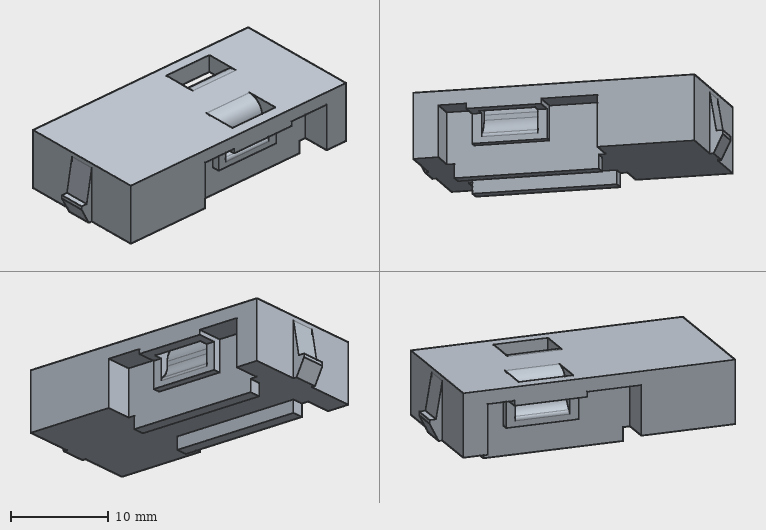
import math

import cadquery as cq

body_width = 14.9
body_length = 30.0
body_height = 7.0

leg_outer_x = 4.2
leg_thickness = 1.4
leg_drop = 1.5
leg_y_min = -3.9
leg_y_max = 11.5

recess_y_min = -4.65
recess_y_max = 12.3
roof_thickness = 1.5

guide_length = 8.0
lip_depth = 2.05
box_outer_x = 5.1
box_depth = 5.2
guide_center_y = 5.35
guide_offset_y = -1.95

channel_length = 6.0
channel_outer_x = 6.1
entry_radius = 2.0
ramp_reach = 1.0
channel_wall_x = box_outer_x - ramp_reach
channel_straight_depth = 2.55
ramp_radius = 1.9
ramp_lip_radius = 0.5

clip_width = 3.0
clip_top_z = -0.52
clip_ledge_z = -4.6
clip_nose_z = -5.0
clip_ledge_reach = 0.7
clip_nose_reach = 1.4
clip_foot_reach = 0.4

half_width = body_width / 2
half_length = body_length / 2


def box_between(x_range, y_range, z_range):
    """Axis-aligned block between the given limits."""
    (x0, x1), (y0, y1), (z0, z1) = x_range, y_range, z_range
    return cq.Workplane("XY").box(x1 - x0, y1 - y0, z1 - z0, centered=False).translate((x0, y0, z0))


def make_recess():
    """Recess on the +X side."""
    return box_between(
        (leg_outer_x, half_width), (recess_y_min, recess_y_max), (-body_height, -roof_thickness)
    )


def make_leg():
    """Leg on the +X side, reaching below the body."""
    return box_between(
        (leg_outer_x - leg_thickness, leg_outer_x),
        (leg_y_min, leg_y_max),
        (-body_height - leg_drop, -roof_thickness),
    )


def make_guide(center_y):
    """Lip and box on the +X side that carry the channel."""
    y_range = (center_y - guide_length / 2, center_y + guide_length / 2)
    lip = box_between((leg_outer_x, half_width), y_range, (-lip_depth, -roof_thickness))
    box = box_between((leg_outer_x, box_outer_x), y_range, (-box_depth, -roof_thickness))
    return lip.union(box)


def make_channel(center_y):
    """Channel void on the +X side: a rounded entry, a short wall and an S-shaped ramp out of the box."""
    tilt = math.asin(1 - ramp_reach / (ramp_radius + ramp_lip_radius))
    ramp_center_x = channel_wall_x + ramp_radius
    lip_center_x = box_outer_x - ramp_lip_radius
    lip_center_z = -channel_straight_depth - (ramp_radius + ramp_lip_radius) * math.cos(tilt)

    def on_ramp(angle):
        return (
            ramp_center_x - ramp_radius * math.sin(angle),
            -channel_straight_depth - ramp_radius * math.cos(angle),
        )

    def on_ramp_lip(angle):
        return (
            lip_center_x + ramp_lip_radius * math.sin(angle),
            lip_center_z + ramp_lip_radius * math.cos(angle),
        )

    quarter_turn = math.pi / 2
    middle_tilt = (tilt + quarter_turn) / 2
    entry_middle = entry_radius * math.sin(quarter_turn / 2)
    entry_x = channel_wall_x - entry_radius
    profile = (
        cq.Workplane("XZ")
        .moveTo(entry_x, 0)
        .threePointArc((entry_x + entry_middle, entry_middle - entry_radius), (channel_wall_x, -entry_radius))
        .lineTo(channel_wall_x, -channel_straight_depth)
        .threePointArc(on_ramp(middle_tilt), on_ramp(tilt))
        .threePointArc(on_ramp_lip(middle_tilt), on_ramp_lip(quarter_turn))
        .lineTo(channel_outer_x, lip_center_z)
        .lineTo(channel_outer_x, 0)
        .close()
    )
    return profile.extrude(channel_length / 2, both=True).translate((0, center_y, 0))


def make_clip():
    """Snap clip on the +Y end."""
    return (
        cq.Workplane("YZ")
        .polyline(
            [
                (half_length, clip_top_z),
                (half_length + clip_ledge_reach, clip_ledge_z),
                (half_length + clip_nose_reach, clip_ledge_z),
                (half_length + clip_nose_reach, clip_nose_z),
                (half_length + clip_foot_reach, -body_height),
                (half_length, -body_height),
            ]
        )
        .close()
        .extrude(clip_width / 2, both=True)
    )


result = box_between((-half_width, half_width), (-half_length, half_length), (-body_height, 0))

for is_left in (True, False):
    guide_y = guide_center_y if is_left else guide_center_y + guide_offset_y
    recess = make_recess()
    leg_and_guide = make_leg().union(make_guide(guide_y))
    channel = make_channel(guide_y)
    if is_left:
        recess = recess.mirror("YZ")
        leg_and_guide = leg_and_guide.mirror("YZ")
        channel = channel.mirror("YZ")
    result = result.cut(recess).union(leg_and_guide).cut(channel)

clip = make_clip()
result = result.union(clip).union(clip.mirror("XZ"))